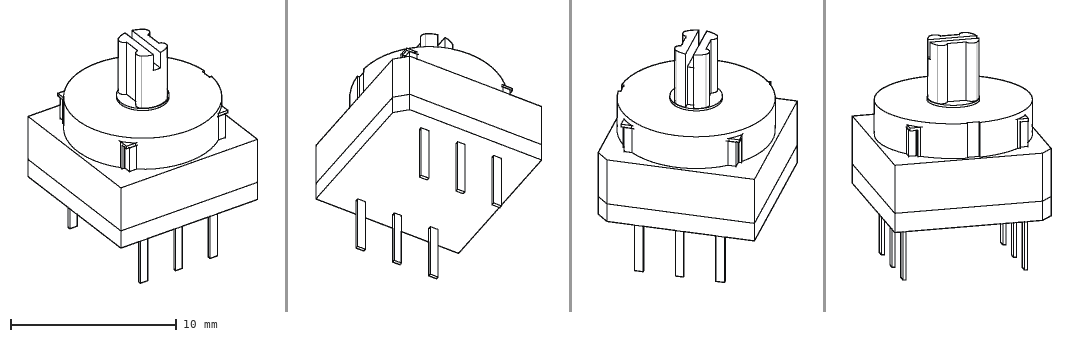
import cadquery as cq
import math

base_bottom = 3.8
base_top = 5.04
case_top = 8.1
leg_top = 9.76
cap_top = 9.95
dial_top = 10.3
collar_top = 10.44
shaft_top = 14.15

case_side = 10.0
corner_chamfer = 0.75

dial_diameter = 9.6
notch_width = 0.76
notch_depth = 0.17

latch_inner = 2.83
cap_half = 3.71
leg_half_x = 3.74
leg_step_x = 3.21
leg_step_y = 3.51

pin_row_x = 3.8
pin_pitch = 2.55
pin_thickness = 0.2
outer_pin_width = 0.55
middle_pin_width = 0.5

collar_diameter = 3.2
shaft_radius = 1.55
waist_half = 0.78
lobe_radius = 0.37
lobe_angle = math.radians(37)
slot_width = 0.5
slot_depth = 1.1
keyway_depth = 0.41


def block(x_range, y_range, z_range):
    """Axis-aligned box between pairs of limits."""
    size = [high - low for low, high in (x_range, y_range, z_range)]
    corner = [low for low, high in (x_range, y_range, z_range)]
    return cq.Workplane("XY").box(*size, centered=False).translate(tuple(corner))


def cylinder(diameter, bottom, top):
    """Upright cylinder on the central axis."""
    return cq.Workplane("XY").workplane(offset=bottom).circle(diameter / 2).extrude(top - bottom)


def case_slab(bottom, top):
    """Square slab with the index corner cut off."""
    slab = cq.Workplane("XY").workplane(offset=bottom).rect(case_side, case_side).extrude(top - bottom)
    return slab.edges("|Z and <X and >Y").chamfer(corner_chamfer)


def latch_posts():
    """Posts in all four corners, each an L-shaped leg under a square cap."""
    cap = block((latch_inner, cap_half), (latch_inner, cap_half), (leg_top, cap_top))
    outer_leg = block((latch_inner, leg_half_x), (latch_inner, leg_step_y), (base_top, leg_top))
    inner_leg = block((latch_inner, leg_step_x), (latch_inner, cap_half), (base_top, leg_top))
    post = cap.union(outer_leg).union(inner_leg)
    posts = post.union(post.mirror("YZ"))
    return posts.union(posts.mirror("XZ"))


def stem():
    """Round stem that passes up through the cover and ends in the collar."""
    return cylinder(collar_diameter, base_top, collar_top)


def contact_pins():
    """Two rows of three flat pins under the base."""
    pins = cq.Workplane("XY")
    for x in (-pin_row_x, pin_row_x):
        for row in (-1, 0, 1):
            width = middle_pin_width if row == 0 else outer_pin_width
            pin = cq.Workplane("XY").center(x, row * pin_pitch).rect(pin_thickness, width)
            pins = pins.union(pin.extrude(base_bottom))
    return pins


def shaft_outline():
    """Round shaft with flat waists, leaving four rounded lobes."""
    centre_x = (shaft_radius - lobe_radius) * math.cos(lobe_angle)
    centre_y = (shaft_radius - lobe_radius) * math.sin(lobe_angle)
    tangent = (shaft_radius * math.cos(lobe_angle), shaft_radius * math.sin(lobe_angle))
    lobe_top = (centre_x, centre_y + lobe_radius)
    waist_x = centre_x - math.sqrt(lobe_radius**2 - (waist_half - centre_y) ** 2)
    return (
        cq.Workplane("XY")
        .workplane(offset=collar_top)
        .moveTo(waist_x, waist_half)
        .threePointArc(lobe_top, tangent)
        .threePointArc((shaft_radius, 0), (tangent[0], -tangent[1]))
        .threePointArc((lobe_top[0], -lobe_top[1]), (waist_x, -waist_half))
        .lineTo(-waist_x, -waist_half)
        .threePointArc((-lobe_top[0], -lobe_top[1]), (-tangent[0], -tangent[1]))
        .threePointArc((-shaft_radius, 0), (-tangent[0], tangent[1]))
        .threePointArc((-lobe_top[0], lobe_top[1]), (-waist_x, waist_half))
        .close()
    )


def slotted_shaft():
    """Lobed shaft with a screwdriver slot and a keyway down its -X side."""
    shaft = shaft_outline().extrude(shaft_top - collar_top)
    slot_y = (-slot_width / 2, slot_width / 2)
    slot = block((-shaft_radius, shaft_radius), slot_y, (shaft_top - slot_depth, shaft_top))
    keyway = block((-shaft_radius, keyway_depth - shaft_radius), slot_y, (collar_top, shaft_top))
    return shaft.cut(slot).cut(keyway)


def make_base():
    """Base plate with its pins, latch posts, stem and shaft."""
    plate = case_slab(base_bottom, base_top)
    return plate.union(contact_pins()).union(latch_posts()).union(stem()).union(slotted_shaft())


def make_cover():
    """Square cover carrying the round dial, with openings for the latch posts and the stem."""
    dial = cylinder(dial_diameter, case_top, dial_top)
    notch_floor = dial_diameter / 2 - notch_depth
    notch = block((-notch_width / 2, notch_width / 2), (notch_floor, case_side / 2), (case_top, dial_top))
    cover = case_slab(base_top, case_top).union(dial.cut(notch))
    return cover.cut(latch_posts()).cut(stem())


base = make_base()
cover = make_cover()
result = cq.Compound.makeCompound([base.solids().val(), cover.solids().val()])